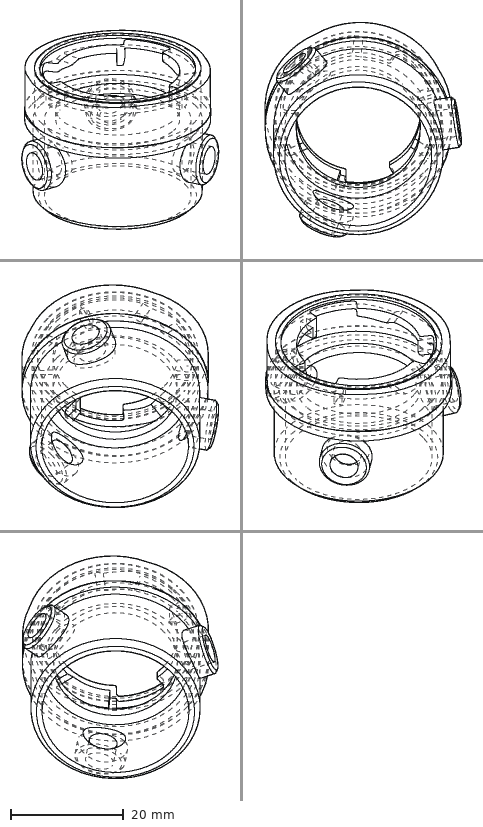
import cadquery as cq
import math

BODY_RADIUS = 15.0
BODY_BORE_RADIUS = 13.0
BODY_CHAMFER = 1.0

SHOULDER_Z = 15.0
FLOOR_Z = 17.0
RING_TOP_Z = 24.85
LIP_TOP_Z = 25.05

BAND_RADIUS = 16.5
GRIP_APEX_RADIUS = 16.6
GRIP_ARC_OFFSET = 1.25
GRIP_ARC_COUNT = 4
GRIP_TURN = -4.0

LIP_OUTER_RADIUS = 14.75
LIP_INNER_RADIUS = 13.8
CHAMBER_RADIUS = 14.75
OPENING_RADIUS = 11.0

FLANGE_TOP_Z = 24.5
FLANGE_BOTTOM_Z = 22.85
NOTCH_ANGLES = (90.0, 210.0, 330.0)
NOTCH_RADIUS = 13.35
NOTCH_HALF_ANGLE = 20.0
NOTCH_OUTER_FILLET = 0.6
NOTCH_INNER_FILLET = 0.4

STOP_BOTTOM_Z = 20.5
STOP_OUTER_RADIUS = 13.95
STOP_SPAN = 6.0
STOP_FILLET = 0.6

CAM_HEIGHT = 0.65
CAM_CENTRE = -45.0
CAM_RAMP_START = 24.0
CAM_CREST_START = 3.0
CAM_CREST_END = -3.4
CAM_FOOT = -11.4

BOSS_ANGLES = (0.0, 120.0, 240.0)
BOSS_RADIUS = 4.5
BOSS_TIP = 17.91
BOSS_CHAMFER = 0.5
BOSS_HOLE_RADIUS = 2.5
SINK_DEPTH = 13.75
SINK_MOUTH = 11.0
BOSS_Z = SHOULDER_Z - BOSS_RADIUS


def polar(radius, angle):
    """Point in the XY plane, angle in degrees."""
    return radius * math.cos(math.radians(angle)), radius * math.sin(math.radians(angle))


def disc(radius, bottom, top):
    return cq.Workplane("XY").workplane(offset=bottom).circle(radius).extrude(top - bottom)


def about_axis(shape, angle):
    return shape.rotate((0, 0, 0), (0, 0, 1), angle)


def grip_ring():
    """Grip ring outlined by four arcs that meet in shallow valleys."""
    arc_radius = GRIP_APEX_RADIUS - GRIP_ARC_OFFSET
    step = 360.0 / GRIP_ARC_COUNT
    half = math.radians(step / 2)
    valley_radius = GRIP_ARC_OFFSET * math.cos(half) + math.sqrt(
        arc_radius**2 - (GRIP_ARC_OFFSET * math.sin(half)) ** 2
    )
    outline = cq.Workplane("XY").workplane(offset=FLOOR_Z)
    outline = outline.moveTo(*polar(valley_radius, GRIP_TURN - step / 2))
    for index in range(GRIP_ARC_COUNT):
        apex = GRIP_TURN + index * step
        outline = outline.threePointArc(
            polar(GRIP_APEX_RADIUS, apex), polar(valley_radius, apex + step / 2)
        )
    return outline.close().extrude(RING_TOP_Z - FLOOR_Z)


def boss():
    """Chamfered boss along +X, starting inside the body bore."""
    start = BODY_BORE_RADIUS - BOSS_RADIUS
    plane = cq.Workplane("YZ").workplane(offset=start).center(0, BOSS_Z)
    return plane.circle(BOSS_RADIUS).extrude(BOSS_TIP - start).faces(">X").chamfer(BOSS_CHAMFER)


def boss_hole():
    """Through hole along +X with a 90 degree countersink on the inside of the body."""
    hole = cq.Workplane("YZ").center(0, BOSS_Z).circle(BOSS_HOLE_RADIUS).extrude(BOSS_TIP)
    depth = SINK_DEPTH - SINK_MOUTH
    sink = cq.Solid.makeCone(
        BOSS_HOLE_RADIUS + depth,
        BOSS_HOLE_RADIUS,
        depth,
        pnt=cq.Vector(SINK_MOUTH, 0, BOSS_Z),
        dir=cq.Vector(1, 0, 0),
    )
    return hole.union(cq.Workplane(obj=sink))


def body():
    """Chamfered tube with its bosses, reaching up into the collar band."""
    tube = disc(BODY_RADIUS, 0, FLOOR_Z).faces("<Z").chamfer(BODY_CHAMFER)
    for angle in BOSS_ANGLES:
        tube = tube.union(about_axis(boss(), angle))
    tube = tube.cut(disc(BODY_BORE_RADIUS, 0, SHOULDER_Z))
    tube = tube.cut(disc(OPENING_RADIUS, SHOULDER_Z, FLOOR_Z))
    for angle in BOSS_ANGLES:
        tube = tube.cut(about_axis(boss_hole(), angle))
    return tube


def collar():
    """Band, grip ring and lip, hollowed to leave the inner floor and the flange."""
    band = disc(BAND_RADIUS, SHOULDER_Z, FLOOR_Z)
    lip = disc(LIP_OUTER_RADIUS, RING_TOP_Z, LIP_TOP_Z)
    opening = disc(OPENING_RADIUS, SHOULDER_Z, LIP_TOP_Z)
    chamber = disc(CHAMBER_RADIUS, FLOOR_Z, FLANGE_BOTTOM_Z)
    recess = disc(LIP_INNER_RADIUS, FLANGE_TOP_Z, LIP_TOP_Z)
    return band.union(grip_ring()).union(lip).cut(opening).cut(chamber).cut(recess)


def notch():
    """Entry notch centred on +X, overlapping the central opening."""
    thickness = FLANGE_TOP_Z - FLANGE_BOTTOM_Z
    pocket = (
        cq.Workplane("XY")
        .workplane(offset=FLANGE_BOTTOM_Z)
        .moveTo(*polar(OPENING_RADIUS, -NOTCH_HALF_ANGLE))
        .lineTo(*polar(NOTCH_RADIUS, -NOTCH_HALF_ANGLE))
        .threePointArc((NOTCH_RADIUS, 0), polar(NOTCH_RADIUS, NOTCH_HALF_ANGLE))
        .lineTo(*polar(OPENING_RADIUS, NOTCH_HALF_ANGLE))
        .close()
        .extrude(thickness)
    )
    outer_corners = cq.selectors.BoxSelector(
        ((OPENING_RADIUS + NOTCH_RADIUS) / 2, -BODY_RADIUS, 0),
        (BODY_RADIUS, BODY_RADIUS, LIP_TOP_Z),
    )
    return pocket.edges("|Z").edges(outer_corners).fillet(NOTCH_OUTER_FILLET)


def stop_tab():
    """Stop tab beside a notch centred on +X."""
    section = (
        cq.Workplane("XZ")
        .moveTo(OPENING_RADIUS, FLANGE_BOTTOM_Z)
        .lineTo(OPENING_RADIUS, STOP_BOTTOM_Z)
        .lineTo(STOP_OUTER_RADIUS - STOP_FILLET, STOP_BOTTOM_Z)
        .radiusArc((STOP_OUTER_RADIUS, STOP_BOTTOM_Z + STOP_FILLET), -STOP_FILLET)
        .lineTo(STOP_OUTER_RADIUS, FLANGE_BOTTOM_Z)
        .close()
    )
    tab = section.revolve(STOP_SPAN, (0, 0, 0), (0, 1, 0))
    return about_axis(tab, NOTCH_HALF_ANGLE)


def cam():
    """Ramp, crest and steep back face on the underside of the flange."""

    def along(angle):
        return OPENING_RADIUS * math.sin(math.radians(angle))

    crest_z = FLANGE_BOTTOM_Z - CAM_HEIGHT
    wedge = (
        cq.Workplane("YZ")
        .moveTo(along(CAM_RAMP_START), FLANGE_BOTTOM_Z)
        .lineTo(along(CAM_CREST_START), crest_z)
        .lineTo(along(CAM_CREST_END), crest_z)
        .lineTo(along(CAM_FOOT), FLANGE_BOTTOM_Z)
        .close()
        .extrude(BODY_RADIUS)
    )
    ring = disc(CHAMBER_RADIUS, SHOULDER_Z, RING_TOP_Z).cut(
        disc(OPENING_RADIUS, SHOULDER_Z, RING_TOP_Z)
    )
    return about_axis(wedge.intersect(ring), CAM_CENTRE)


def notch_inner_edges(part):
    """Vertical edges where the notch sides and stop tabs meet the central opening."""
    margin = 0.05
    edges = part.edges("|Z")
    picked = []
    for angle in NOTCH_ANGLES:
        for side in (-NOTCH_HALF_ANGLE, NOTCH_HALF_ANGLE):
            x, y = polar(OPENING_RADIUS, angle + side)
            low = (x - margin, y - margin, FLOOR_Z)
            high = (x + margin, y + margin, LIP_TOP_Z)
            picked += edges.edges(cq.selectors.BoxSelector(low, high)).vals()
    return part.newObject(picked)


def bayonet_collar():
    part = collar()
    for angle in NOTCH_ANGLES:
        part = part.cut(about_axis(notch(), angle))
        part = part.union(about_axis(stop_tab(), angle))
    part = notch_inner_edges(part).fillet(NOTCH_INNER_FILLET)
    for angle in NOTCH_ANGLES:
        part = part.union(about_axis(cam(), angle))
    return part


result = body().union(bayonet_collar())